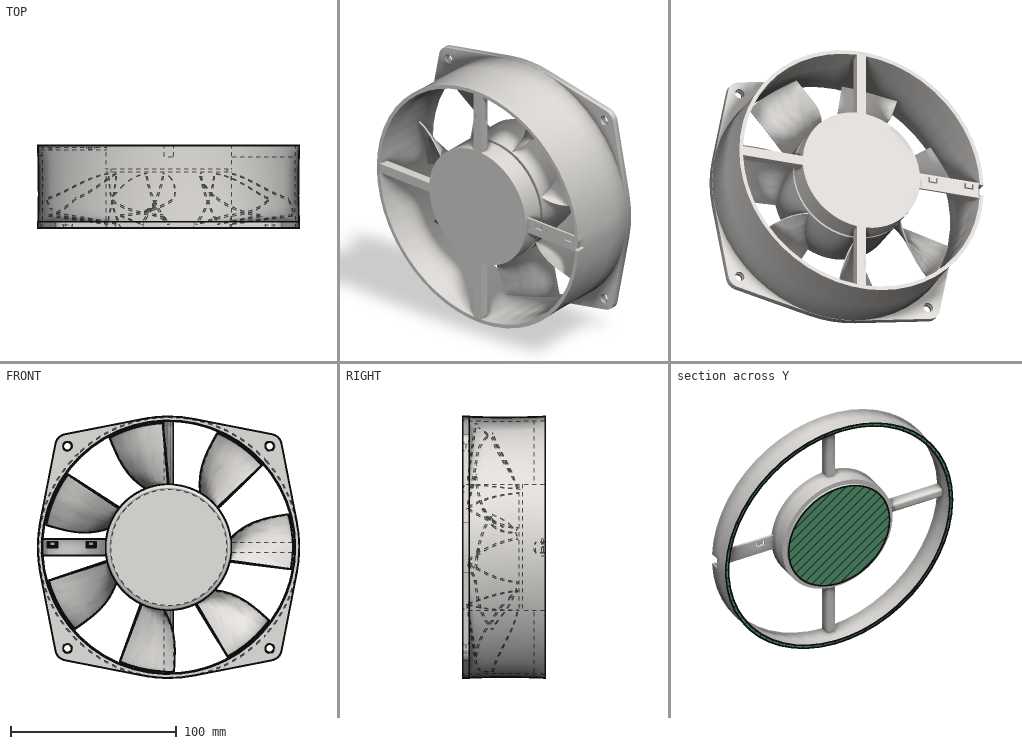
import cadquery as cq
import math

depth = 50.0

flange_thickness = 4.0
flange_radius = 79.0
corner_radius = 7.4
hole_offset = 61.0
hole_diameter = 5.0
recess_diameter = 6.0
recess_depth = 2.0

duct_end_radius = 79.0
duct_waist_radius = 78.4
wall = 2.4
bore_end_radius = duct_end_radius - wall
bore_waist_radius = duct_waist_radius - wall

rotor_radius = 38.0
rotor_depth = 34.0
rotor_rim_radius = 2.5

blade_count = 7
blade_tip_radius = 75.0
blade_thickness = 1.0

base_gap = 2.0
neck_radius = 35.0

arm_reach = duct_waist_radius - wall / 2

strut_width = 6.0
strut_depth = 7.0
strut_rounding = 1.8

plate_width = 10.0
plate_thickness = 1.4
plate_front = 47.4
terminal_positions = (-70.0, -46.7)
terminal_offset = 1.6
window_length = 5.8
window_height = 3.4
terminal_length = 3.8
terminal_height = 2.6
terminal_thickness = 0.8

notch_width = 6.8
notch_depth = 6.0

blade_stations = (
    (35.0, (-8.1, 2.3), (2.5, 33.5), 2.2),
    (47.5, (-9.8, 4.0), (12.8, 29.5), 2.2),
    (58.0, (-11.2, 5.6), (17.0, 24.0), 2.2),
    (76.0, (-13.5, 8.0), (20.5, 17.0), 2.2),
)


def cylinder(radius, start, end):
    """Cylinder on the fan axis between two Y positions."""
    return cq.Workplane("XZ", origin=(0, start, 0)).circle(radius).extrude(start - end)


def waisted_solid(end_radius, waist_radius):
    """Solid of revolution about Y whose side is an arc drawn in at mid depth."""
    return (
        cq.Workplane("XY")
        .lineTo(end_radius, 0)
        .threePointArc((waist_radius, depth / 2), (end_radius, depth))
        .lineTo(0, depth)
        .close()
        .revolve(360, (0, 0), (0, 1))
    )


def polar(radius, angle):
    """(X, Z) position at a radius and angle around the fan axis."""
    return radius * math.cos(angle), radius * math.sin(angle)


def corner_point(corner_angle, angle):
    """(X, Z) point of the round corner whose centre lies at corner_angle."""
    centre_x, centre_z = polar(hole_offset * math.sqrt(2), corner_angle)
    x, z = polar(corner_radius, angle)
    return centre_x + x, centre_z + z


def corner_cylinders(diameter, start, end):
    """Four cylinders on the mounting hole centres between two Y positions."""
    return (
        cq.Workplane("XZ", origin=(0, start, 0))
        .rect(2 * hole_offset, 2 * hole_offset, forConstruction=True)
        .vertices()
        .circle(diameter / 2)
        .extrude(start - end)
    )


def make_flange():
    """Plate bounded by four bulged sides running tangentially into round corners."""
    quarter = math.pi / 2
    eighth = math.pi / 4
    lean = math.asin((flange_radius - corner_radius) / (hole_offset * math.sqrt(2))) - eighth

    outline = cq.Workplane("XZ").moveTo(*corner_point(-eighth, -lean))
    for side in range(4):
        middle = side * quarter
        corner = middle + eighth
        outline = (
            outline
            .lineTo(*polar(flange_radius, middle - lean))
            .threePointArc(polar(flange_radius, middle), polar(flange_radius, middle + lean))
            .lineTo(*corner_point(corner, middle + lean))
            .threePointArc(corner_point(corner, corner), corner_point(corner, middle + quarter - lean))
        )
    plate = outline.close().extrude(-flange_thickness)
    holes = corner_cylinders(hole_diameter, 0, flange_thickness)
    recesses = corner_cylinders(recess_diameter, flange_thickness - recess_depth, flange_thickness)
    return plate.cut(holes).cut(recesses)


def make_strut(angle):
    """Bar with rounded front edges from the motor base out to the duct wall."""
    return (
        cq.Workplane("XY")
        .box(arm_reach, strut_depth, strut_width, centered=(False, False, True))
        .edges("|X and <Y")
        .fillet(strut_rounding)
        .translate((0, depth - strut_depth, 0))
        .rotate((0, 0, 0), (0, 1, 0), angle)
    )


def make_terminal_plate():
    """Flat bar on the -X side with two windows, each holding a narrower terminal."""
    middle_y = plate_front + plate_thickness / 2
    plate = cq.Workplane("XY").box(arm_reach, plate_thickness, plate_width)
    plate = plate.translate((-arm_reach / 2, middle_y, 0))
    terminal_y = plate_front + plate_thickness - terminal_thickness / 2
    for x in terminal_positions:
        window = cq.Workplane("XY").box(window_length, plate_thickness, window_height)
        plate = plate.cut(window.translate((x, middle_y, terminal_offset)))
        terminal = cq.Workplane("XY").box(terminal_length, terminal_thickness, terminal_height)
        rise = terminal_offset + (window_height - terminal_height) / 2
        plate = plate.union(terminal.translate((x, terminal_y, rise)))
    return plate


def make_notch():
    """Cable opening through the rear edge of the duct, at the end of the terminal plate."""
    return (
        cq.Workplane("XY")
        .box(duct_end_radius - bore_waist_radius, notch_depth, notch_width)
        .translate((-(duct_end_radius + bore_waist_radius) / 2, depth - notch_depth / 2, 0))
    )


def make_frame():
    bore = waisted_solid(bore_end_radius, bore_waist_radius)
    shell = waisted_solid(duct_end_radius, duct_waist_radius).union(make_flange()).cut(bore)
    base_front = rotor_depth + base_gap
    base = cylinder(rotor_radius, base_front, depth).union(cylinder(neck_radius, rotor_depth, base_front))
    frame = shell.union(base).union(make_terminal_plate()).cut(make_notch())
    for angle in (-90, 0, 90):
        frame = frame.union(make_strut(angle))
    return frame


def blade_section(distance, front, rear, bow):
    """Thin cambered outline in the plane at the given distance along +X."""
    along_t = rear[0] - front[0]
    along_y = rear[1] - front[1]
    chord = math.hypot(along_t, along_y)

    def point(share, offset):
        t = front[0] + share * along_t + offset * along_y / chord
        y = front[1] + share * along_y - offset * along_t / chord
        return cq.Vector(distance, y, t)

    half = blade_thickness / 2
    edges = [
        cq.Edge.makeThreePointArc(point(0, half), point(0.5, bow + half), point(1, half)),
        cq.Edge.makeLine(point(1, half), point(1, -half)),
        cq.Edge.makeThreePointArc(point(1, -half), point(0.5, bow - half), point(0, -half)),
        cq.Edge.makeLine(point(0, -half), point(0, half)),
    ]
    return cq.Wire.assembleEdges(edges)


def make_blade():
    """Twisted blade along +X, trimmed to the tip radius."""
    sections = [blade_section(*station) for station in blade_stations]
    blade = cq.Workplane(obj=cq.Solid.makeLoft(sections))
    return blade.intersect(cylinder(blade_tip_radius, 0, depth))


def make_rotor():
    rotor = cylinder(rotor_radius, 0, rotor_depth).faces("<Y").edges().fillet(rotor_rim_radius)
    blade = make_blade()
    for index in range(blade_count):
        rotor = rotor.union(blade.rotate((0, 0, 0), (0, 1, 0), -360 / blade_count * index))
    return rotor


frame = make_frame()
rotor = make_rotor()

result = cq.Compound.makeCompound([frame.solids().val(), rotor.solids().val()])